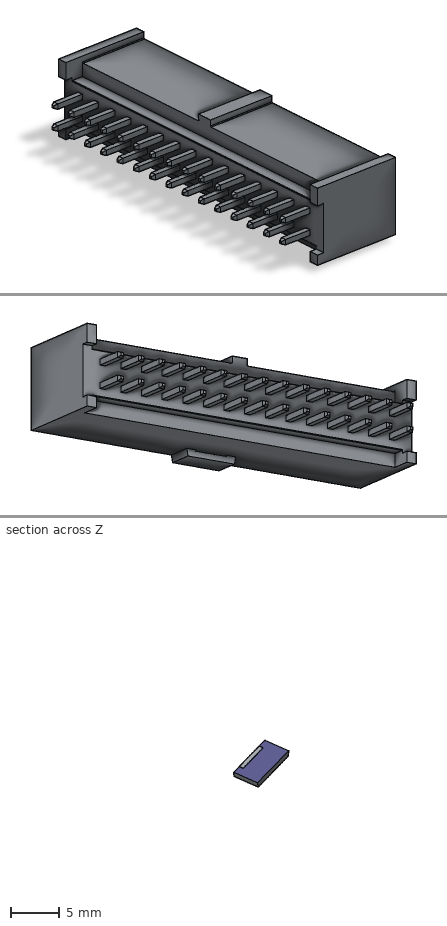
import cadquery as cq

length = 40.44
depth = 10.0
height = 8.95
end_plate_thickness = 1.15
panel_inset = 0.8
inner_length = length - 2 * end_plate_thickness
panel_top = height - panel_inset

step_depth = 1.45
upper_step_z = 6.57
lower_step_z = 1.5
wall_edge_bevel = 0.08

foot_projection = 0.85
upper_foot_height = 2.05
lower_foot_height = 1.2

rib_width = 1.85

base_bevel = 0.1

key_width = 6.0
key_height = 0.8
key_depth = 3.0
key_side_taper = 0.15
key_groove_width = 3.75
key_groove_height = 0.13
key_groove_depth = 0.5

pitch = 2.54
columns = 15
pin_size = 0.64
pin_projection = 3.8
pin_root = 1.0
pin_tip_length = 0.4
pin_tip_size = 0.3
lower_row_z = 2.74
row_heights = (lower_row_z, lower_row_z + pitch)


def block(x_size, y_min, y_max, z_min, z_max, x_center=0):
    """Box centred on x_center, between the given Y and Z limits."""
    return cq.Workplane("XY").box(
        x_size, y_max - y_min, z_max - z_min, centered=(True, False, False)
    ).translate((x_center, y_min, z_min))


def make_core():
    """Solid between the end plates, stepped back above and below the pin face."""
    panels = block(inner_length, step_depth, depth, 0, panel_top)
    pin_wall = block(inner_length, 0, depth, lower_step_z, upper_step_z)
    pin_wall = pin_wall.faces("<Y").edges("|X").chamfer(wall_edge_bevel)
    rib = block(rib_width, step_depth, depth, panel_top, height)
    return panels.union(pin_wall).union(rib)


def make_base_bevel(wall_x, direction):
    """Triangular strip on the top panel, leaning on the wall at wall_x."""
    return (
        cq.Workplane("XZ", origin=(wall_x, depth, panel_top))
        .polyline([(0, 0), (direction * base_bevel, 0), (0, base_bevel)])
        .close()
        .extrude(depth - step_depth)
    )


def make_end_plate(side):
    """End plate with an upper and a lower foot; side is -1 or 1."""
    x_center = side * (length - end_plate_thickness) / 2
    plate = block(end_plate_thickness, -foot_projection, depth, 0, height, x_center)
    foot_gap = block(
        end_plate_thickness, -foot_projection, 0, lower_foot_height, height - upper_foot_height, x_center
    )
    return plate.cut(foot_gap)


def make_key():
    """Key block with tapered sides and a shallow groove against the housing."""
    half_width = key_width / 2
    bottom_half_width = half_width - key_side_taper
    key = (
        cq.Workplane("XZ", origin=(0, depth, 0))
        .polyline([
            (-half_width, 0),
            (-bottom_half_width, -key_height),
            (bottom_half_width, -key_height),
            (half_width, 0),
        ])
        .close()
        .extrude(key_depth)
    )
    key_front = depth - key_depth
    groove = block(key_groove_width, key_front, key_front + key_groove_depth, -key_groove_height, 0)
    return key.cut(groove)


def make_pin(x, z):
    """Square pin pointing toward -Y with a tapered tip."""
    return (
        cq.Workplane("XZ", origin=(x, pin_root, z))
        .rect(pin_size, pin_size)
        .extrude(pin_root + pin_projection - pin_tip_length)
        .faces("<Y")
        .workplane()
        .rect(pin_size, pin_size)
        .workplane(offset=pin_tip_length)
        .rect(pin_tip_size, pin_tip_size)
        .loft(combine=True)
    )


result = make_core().union(make_key())
for side in (-1, 1):
    result = result.union(make_end_plate(side))
    result = result.union(make_base_bevel(side * rib_width / 2, side))
    result = result.union(make_base_bevel(side * inner_length / 2, -side))
for column in range(columns):
    pin_x = (column - (columns - 1) / 2) * pitch
    for row_z in row_heights:
        result = result.union(make_pin(pin_x, row_z))